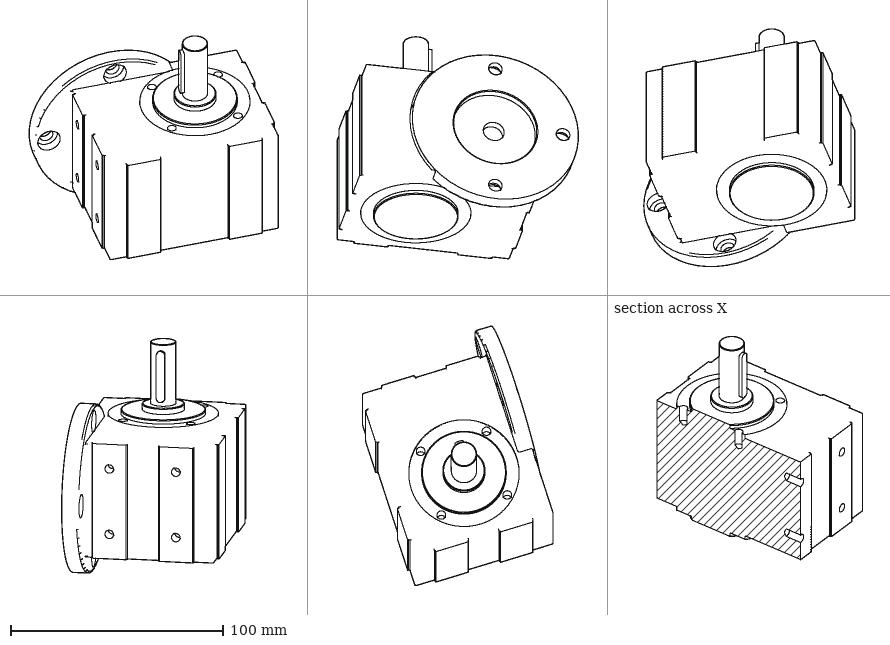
import cadquery as cq
import math

OVERALL_HEIGHT = 105.0
OVERALL_WIDTH = 70.5
OVERALL_LENGTH = 85.0
PAD_HEIGHT = 1.0
PAD_FACE_X = 35.0
BLOCK_WIDTH = OVERALL_WIDTH - 2 * PAD_HEIGHT
BLOCK_LENGTH = OVERALL_LENGTH - 2 * PAD_HEIGHT
BLOCK_HEIGHT = 56.0
BLOCK_CENTER_X = PAD_FACE_X - OVERALL_WIDTH / 2
BLOCK_CENTER_Y = -10.5
BLOCK_LEFT_X = BLOCK_CENTER_X - BLOCK_WIDTH / 2
BLOCK_FRONT_Y = BLOCK_CENTER_Y - BLOCK_LENGTH / 2
PAD_FRONT_Y = BLOCK_FRONT_Y - PAD_HEIGHT
BLOCK_TOP = BLOCK_HEIGHT / 2
BLOCK_CORNER_RADIUS = 0.8
BLOCK_EDGE_RADIUS = 0.6

PAD_WIDTH = 16.1
PAD_FOOT_RADIUS = 0.4
PAD_EMBED = 2.1
END_PAD_PITCH = 31.9
SIDE_PAD_PITCH = 50.0

FLANGE_DIAMETER = 80.0
FLANGE_THICKNESS = 8.0
FLANGE_RIM_RADIUS = 0.9
FLANGE_BLEND_RADIUS = 0.9
FLANGE_CENTER_Y = -31.0
FLANGE_FACE_X = PAD_FACE_X - OVERALL_WIDTH
FLANGE_BACK_X = FLANGE_FACE_X + FLANGE_THICKNESS
SPIGOT_DIAMETER = 40.0
SPIGOT_DEPTH = FLANGE_THICKNESS / 2
SPIGOT_CHAMFER = 0.4
BORE_DIAMETER = 10.1
FLANGE_HOLE_DIAMETER = 6.5
FLANGE_COUNTERBORE_DIAMETER = 11.0
FLANGE_COUNTERBORE_DEPTH = 4.5
FLANGE_BOLT_RADIUS = 32.5

COVER_DIAMETER = 52.1
COVER_TOP = 30.0
COVER_BASE_BLEND = 0.5
CAP_DIAMETER = 40.0
CAP_TOP = 32.0
STEP_CHAMFER = 0.4

COLLAR_DIAMETER = 20.0
COLLAR_TOP = 35.0
SHAFT_DIAMETER = 12.0
SHAFT_TOP = OVERALL_HEIGHT - FLANGE_DIAMETER / 2
SHAFT_CHAMFER = 0.3
KEY_WIDTH = 4.0
KEY_LENGTH = 25.0
KEY_OUTER_Y = -7.5
KEY_CENTER_Z = 49.6

SCREW_HOLE_DIAMETER = 4.1
SCREW_HOLE_DEPTH = 8.4
DRILL_POINT_ANGLE = 118
COVER_HOLE_PITCH = 32.5
PAD_HOLE_PITCH = END_PAD_PITCH


def disc_along_x(diameter, start_x, length):
    """Cylinder on the flange axis, growing toward +X."""
    return (
        cq.Workplane("YZ", origin=(start_x, FLANGE_CENTER_Y, 0))
        .circle(diameter / 2)
        .extrude(length)
    )


def make_block():
    block = cq.Workplane("XY").box(BLOCK_WIDTH, BLOCK_LENGTH, BLOCK_HEIGHT)
    block = block.edges("|Z").fillet(BLOCK_CORNER_RADIUS)
    block = block.faces("<Z or >Z").edges().fillet(BLOCK_EDGE_RADIUS)
    return block.translate((BLOCK_CENTER_X, BLOCK_CENTER_Y, 0))


def make_pad():
    """Pad with its outer face through the origin, facing -Y, with concave feet at the wall."""
    half = PAD_WIDTH / 2
    foot = PAD_FOOT_RADIUS
    return (
        cq.Workplane("XY")
        .moveTo(-half, 0)
        .lineTo(half, 0)
        .lineTo(half, PAD_HEIGHT - foot)
        .radiusArc((half + foot, PAD_HEIGHT), -foot)
        .lineTo(half + foot, PAD_HEIGHT + PAD_EMBED)
        .lineTo(-half - foot, PAD_HEIGHT + PAD_EMBED)
        .lineTo(-half - foot, PAD_HEIGHT)
        .radiusArc((-half, PAD_HEIGHT - foot), -foot)
        .close()
        .extrude(BLOCK_TOP, both=True)
    )


def add_pads(body):
    """Two pads on each of the -Y and +Y walls and two on the +X wall."""
    front_pad = make_pad()
    back_pad = front_pad.rotate((0, 0, 0), (0, 0, 1), 180)
    side_pad = front_pad.rotate((0, 0, 0), (0, 0, 1), 90)
    for side in (-0.5, 0.5):
        x = side * END_PAD_PITCH
        body = body.union(front_pad.translate((x, PAD_FRONT_Y, 0)))
        body = body.union(back_pad.translate((x, PAD_FRONT_Y + OVERALL_LENGTH, 0)))
        side_pad_y = BLOCK_CENTER_Y + side * SIDE_PAD_PITCH
        body = body.union(side_pad.translate((PAD_FACE_X, side_pad_y, 0)))
    return body


def make_flange():
    flange = disc_along_x(FLANGE_DIAMETER, FLANGE_FACE_X, FLANGE_THICKNESS)
    return flange.faces(">X").edges().fillet(FLANGE_RIM_RADIUS)


def make_flange_blends():
    """Concave blends where the flange meets the -X wall and the -Y wall."""
    radius = FLANGE_BLEND_RADIUS
    rim = FLANGE_DIAMETER / 2
    rim_blend = (
        cq.Workplane("XY", origin=(BLOCK_LEFT_X, FLANGE_CENTER_Y, 0))
        .moveTo(radius, 0)
        .lineTo(radius, rim + radius)
        .lineTo(0, rim + radius)
        .radiusArc((-radius, rim), radius)
        .lineTo(-radius, 0)
        .close()
        .revolve(360, (0, 0, 0), (1, 0, 0))
    )
    flat_wall_height = BLOCK_HEIGHT - 2 * BLOCK_EDGE_RADIUS
    flat_wall = cq.Workplane("XY", origin=(BLOCK_LEFT_X, BLOCK_CENTER_Y, 0)).box(
        2 * radius, BLOCK_LENGTH - 2 * BLOCK_CORNER_RADIUS, flat_wall_height
    )
    wall_blend = (
        cq.Workplane("XY")
        .moveTo(FLANGE_BACK_X, BLOCK_FRONT_Y)
        .lineTo(FLANGE_BACK_X, BLOCK_FRONT_Y - radius)
        .radiusArc((FLANGE_BACK_X + radius, BLOCK_FRONT_Y), radius)
        .close()
        .extrude(flat_wall_height / 2, both=True)
    )
    return rim_blend.intersect(flat_wall).union(wall_blend)


def make_covers():
    """Stepped covers through the block, alike at the top and the bottom."""
    blend = COVER_BASE_BLEND
    radius = COVER_DIAMETER / 2
    half_cover = (
        cq.Workplane("XZ")
        .lineTo(radius + blend, 0)
        .lineTo(radius + blend, BLOCK_TOP)
        .radiusArc((radius, BLOCK_TOP + blend), blend)
        .lineTo(radius, COVER_TOP)
        .lineTo(CAP_DIAMETER / 2, COVER_TOP)
        .lineTo(CAP_DIAMETER / 2, CAP_TOP - STEP_CHAMFER)
        .lineTo(CAP_DIAMETER / 2 - STEP_CHAMFER, CAP_TOP)
        .lineTo(0, CAP_TOP)
        .close()
        .revolve(360, (0, 0, 0), (0, 1, 0))
    )
    return half_cover.union(half_cover.mirror("XY"))


def make_shaft():
    collar = cq.Workplane("XY").circle(COLLAR_DIAMETER / 2).extrude(COLLAR_TOP)
    collar = collar.faces(">Z").edges().chamfer(STEP_CHAMFER)
    shaft = cq.Workplane("XY").circle(SHAFT_DIAMETER / 2).extrude(SHAFT_TOP)
    shaft = shaft.faces(">Z").edges().chamfer(SHAFT_CHAMFER)
    key = (
        cq.Workplane("XZ", origin=(0, 0, KEY_CENTER_Z))
        .slot2D(KEY_LENGTH, KEY_WIDTH, 90)
        .extrude(-KEY_OUTER_Y)
    )
    return collar.union(shaft).union(key)


def make_flange_cuts():
    """Stepped recess with a bore, and three through holes counterbored from the back."""
    spigot = disc_along_x(SPIGOT_DIAMETER, FLANGE_FACE_X, SPIGOT_DEPTH)
    lead_in = (
        cq.Workplane("YZ", origin=(FLANGE_FACE_X, FLANGE_CENTER_Y, 0))
        .circle(SPIGOT_DIAMETER / 2 + SPIGOT_CHAMFER)
        .workplane(offset=SPIGOT_CHAMFER)
        .circle(SPIGOT_DIAMETER / 2)
        .loft()
    )
    bore = disc_along_x(BORE_DIAMETER, FLANGE_FACE_X, FLANGE_THICKNESS)
    hole_centers = [(0, FLANGE_BOLT_RADIUS), (-FLANGE_BOLT_RADIUS, 0), (0, -FLANGE_BOLT_RADIUS)]
    bolt_holes = (
        cq.Workplane("YZ", origin=(FLANGE_FACE_X, FLANGE_CENTER_Y, 0))
        .pushPoints(hole_centers)
        .circle(FLANGE_HOLE_DIAMETER / 2)
        .extrude(FLANGE_THICKNESS)
    )
    counterbores = (
        cq.Workplane("YZ", origin=(FLANGE_BACK_X, FLANGE_CENTER_Y, 0))
        .pushPoints(hole_centers)
        .circle(FLANGE_COUNTERBORE_DIAMETER / 2)
        .extrude(-FLANGE_COUNTERBORE_DEPTH)
    )
    return spigot.union(lead_in).union(bore).union(bolt_holes).union(counterbores)


def make_screw_hole():
    """Blind drilled hole that opens at the origin and runs down -Z."""
    radius = SCREW_HOLE_DIAMETER / 2
    point_depth = radius / math.tan(math.radians(DRILL_POINT_ANGLE / 2))
    return (
        cq.Workplane("XZ")
        .lineTo(radius, 0)
        .lineTo(radius, -SCREW_HOLE_DEPTH)
        .lineTo(0, -SCREW_HOLE_DEPTH - point_depth)
        .close()
        .revolve(360, (0, 0, 0), (0, 1, 0))
    )


def cut_screw_holes(body):
    """Four holes in the top cover and four in the -Y pads."""
    cover_hole = make_screw_hole()
    pad_hole = cover_hole.rotate((0, 0, 0), (1, 0, 0), 90)
    for side in (-0.5, 0.5):
        for row in (-0.5, 0.5):
            cover_place = (side * COVER_HOLE_PITCH, row * COVER_HOLE_PITCH, COVER_TOP)
            pad_place = (side * PAD_HOLE_PITCH, PAD_FRONT_Y, row * PAD_HOLE_PITCH)
            body = body.cut(cover_hole.translate(cover_place))
            body = body.cut(pad_hole.translate(pad_place))
    return body


body = add_pads(make_block()).union(make_flange()).union(make_flange_blends())
body = body.union(make_covers()).union(make_shaft())
body = body.cut(make_flange_cuts())
result = cut_screw_holes(body)